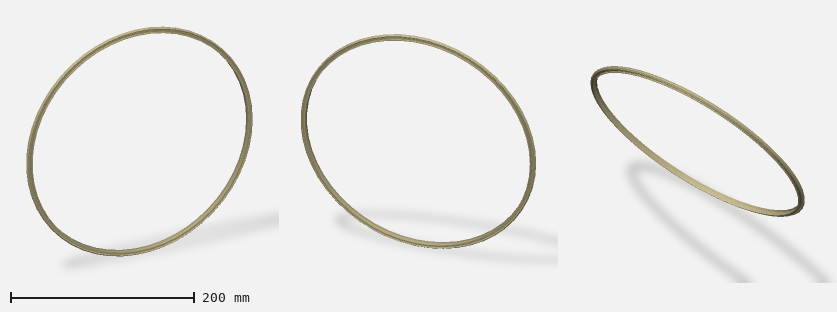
import cadquery as cq

outer_diameter = 271.0
band_diameter = 261.0
bore_diameter = 259.0
band_width = 7.0

head_width = 4.3
neck_width = 2.2
tip_width = 1.0
tip_height = 1.4
undercut_height = 1.0
root_width = 3.3
root_height = 0.5

tip_radius = outer_diameter / 2
band_radius = band_diameter / 2
bore_radius = bore_diameter / 2
root_radius = band_radius + root_height
barb_radius = tip_radius - tip_height
neck_radius = barb_radius - undercut_height

left_side = [
    (-band_width / 2, bore_radius),
    (-band_width / 2, band_radius),
    (-root_width / 2, band_radius),
    (-root_width / 2, root_radius),
    (-neck_width / 2, root_radius),
    (-neck_width / 2, neck_radius),
    (-head_width / 2, barb_radius),
    (-tip_width / 2, tip_radius),
]
right_side = [(-axial, radius) for axial, radius in reversed(left_side)]
section = left_side + right_side

result = cq.Workplane("XY").polyline(section).close().revolve(360, (0, 0, 0), (1, 0, 0))